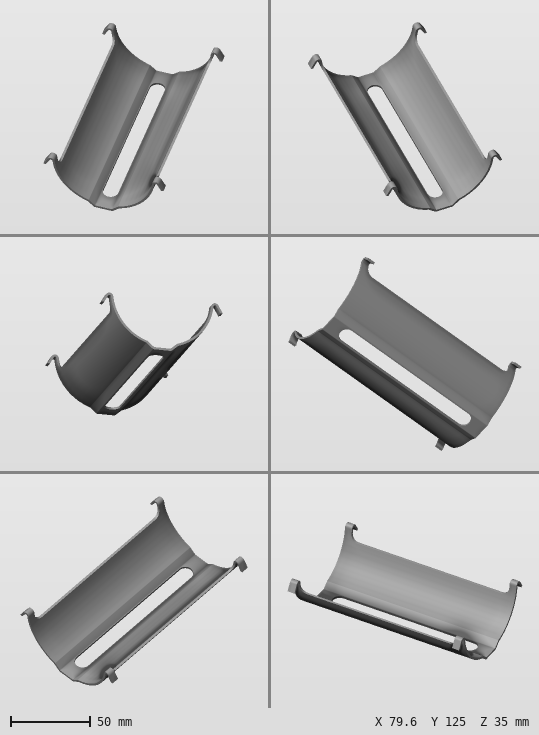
import cadquery as cq
import math

length = 125.0
height = 34.99
sheet = 1.5

trough_radius = 32.4
trough_axis_z = 36.1

flat_half_width = 5.4
wall_slope = math.radians(40.5)
bend_radius = 1.0

hook_radius = 2.5
hook_leg_length = 5.85
hook_leg_slope = math.radians(60)
hook_end_slope = math.radians(10)

tab_width = 5.0
notch_depth = 10.0
notch_corner_radius = 5.0

slot_width = 10.0
slot_length = 105.0


def on_circle(center, radius, angle):
    """Point on a circle, with the angle measured from +X towards +Z."""
    return (center[0] + radius * math.cos(angle), center[1] + radius * math.sin(angle))


def ridge_angle(flat_corner, radius):
    """Angle on the trough circle where the wall rising from flat_corner meets it."""
    across_wall = flat_corner[0] * math.sin(wall_slope)
    across_wall += (trough_axis_z - flat_corner[1]) * math.cos(wall_slope)
    return wall_slope - math.pi / 2 - math.acos(across_wall / radius)


def section_outline():
    """Closed outline of the bent sheet on the +X side, in the XZ plane."""
    axis = (0, trough_axis_z)
    outer_radius = trough_radius + sheet
    hook_inner_radius = hook_radius - sheet

    flat_top = (flat_half_width, sheet)
    flat_bottom = (flat_half_width + sheet * math.tan(wall_slope / 2), 0)
    ridge_top_angle = ridge_angle(flat_top, trough_radius)
    ridge_bottom_angle = ridge_angle(flat_bottom, outer_radius)

    hook_z = height - hook_radius
    join_angle = math.asin((hook_z - trough_axis_z) / (trough_radius + hook_radius))
    hook = on_circle(axis, trough_radius + hook_radius, join_angle)
    hook_start_angle = join_angle + math.pi
    leg_angle = math.pi / 2 - hook_leg_slope

    leg_outer = on_circle(hook, hook_radius, leg_angle)
    leg_inner = on_circle(hook, hook_inner_radius, leg_angle)
    tip_outer = on_circle(leg_outer, hook_leg_length, -hook_leg_slope)
    end_face_width = sheet / math.cos(leg_angle - hook_end_slope)
    tip_inner = on_circle(tip_outer, end_face_width, math.pi + hook_end_slope)
    hook_middle_angle = (hook_start_angle + leg_angle) / 2

    return (
        cq.Workplane("XZ")
        .moveTo(0, sheet)
        .lineTo(*flat_top)
        .lineTo(*on_circle(axis, trough_radius, ridge_top_angle))
        .threePointArc(
            on_circle(axis, trough_radius, (ridge_top_angle + join_angle) / 2),
            on_circle(axis, trough_radius, join_angle),
        )
        .threePointArc(on_circle(hook, hook_radius, hook_middle_angle), leg_outer)
        .lineTo(*tip_outer)
        .lineTo(*tip_inner)
        .lineTo(*leg_inner)
        .threePointArc(
            on_circle(hook, hook_inner_radius, hook_middle_angle),
            on_circle(axis, outer_radius, join_angle),
        )
        .threePointArc(
            on_circle(axis, outer_radius, (ridge_bottom_angle + join_angle) / 2),
            on_circle(axis, outer_radius, ridge_bottom_angle),
        )
        .lineTo(*flat_bottom)
        .lineTo(0, 0)
        .close()
    )


def bend_zone():
    """Opposite corners of a box around the four bend edges of the +X side."""
    margin = sheet
    inner_corner = (flat_half_width - margin, -length, -margin)
    outer_corner = (trough_radius / 2, length, trough_axis_z / 2)
    return inner_corner, outer_corner


def bent_sheet():
    """Full-length channel, mirrored about the YZ plane and centred on Y."""
    half = section_outline().extrude(length / 2, both=True)
    bends = cq.selectors.BoxSelector(*bend_zone())
    half = half.edges("|Y").edges(bends).fillet(bend_radius)
    return half.union(half.mirror("YZ"), clean=True)


def side_notches():
    """Cutter that removes the upper sides between the end tabs, on both sides."""
    span = 2 * (trough_radius + sheet + 2 * hook_radius + hook_leg_length)
    floor_z = height - notch_depth
    cutter_height = 2 * notch_depth
    cutter = cq.Workplane("XY").box(
        span, length - 2 * tab_width, cutter_height, centered=(True, True, False)
    )
    return cutter.edges("|X and <Z").fillet(notch_corner_radius).translate((0, 0, floor_z))


def flat_slot():
    """Cutter for the round-ended slot through the flat."""
    return cq.Workplane("XY").slot2D(slot_length, slot_width, 90).extrude(sheet)


result = bent_sheet().cut(side_notches()).cut(flat_slot())